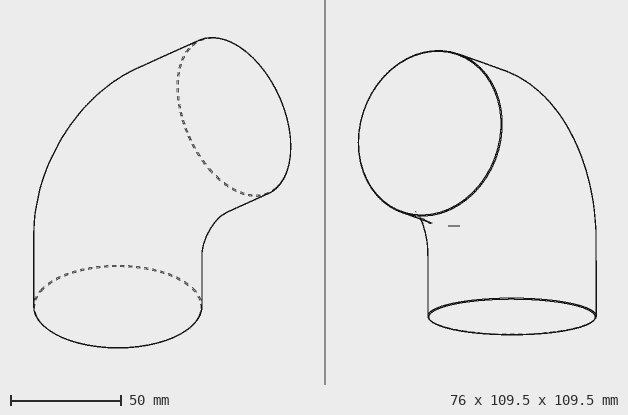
import math

import cadquery as cq

overall = 109.5
diameter = 76.0
collar_length = 25.2
end_chamfer = 0.4
heel_straight = 14.7
section_count = 19

radius = diameter / 2
bend_radius = overall - radius - collar_length
throat_radius = bend_radius - radius
outer_reach = bend_radius + radius
heel_radius = outer_reach - heel_straight


def heel_distance(angle):
    """Distance from the bend axis to the outer wall, made of line, heel arc and line."""
    angle_from_joint = min(angle, math.pi / 2 - angle)
    cosine = math.cos(angle_from_joint)
    sine = math.sin(angle_from_joint)
    if outer_reach * sine <= heel_straight * cosine:
        return outer_reach / cosine
    along = heel_straight * (cosine + sine)
    across = heel_straight * (cosine - sine)
    return along + math.sqrt(heel_radius**2 - across**2)


def bend_section(angle):
    """Elliptical cross-section, of constant width, spanning from throat to heel."""
    heel = heel_distance(angle)
    middle = (throat_radius + heel) / 2
    half_depth = (heel - throat_radius) / 2
    center = cq.Vector(
        0,
        bend_radius - middle * math.cos(angle),
        collar_length + middle * math.sin(angle),
    )
    normal = cq.Vector(0, math.sin(angle), math.cos(angle))
    inward = cq.Vector(0, math.cos(angle), -math.sin(angle))
    edge = cq.Edge.makeEllipse(half_depth, radius, center, normal, inward)
    return cq.Wire.assembleEdges([edge])


def bend():
    """Smooth bend through the sections, from +Z at the lower joint to +Y at the upper."""
    step = math.pi / 2 / (section_count - 1)
    sections = [bend_section(i * step) for i in range(section_count)]
    return cq.Workplane(cq.Solid.makeLoft(sections))


def collar():
    """Vertical cylinder standing on Z = 0, its open end lightly chamfered."""
    cylinder = cq.Workplane("XY").circle(radius).extrude(collar_length)
    return cylinder.faces("<Z").chamfer(end_chamfer)


lower_collar = collar()
upper_collar = (
    collar()
    .rotate((0, 0, 0), (1, 0, 0), 90)
    .translate((0, overall - radius, overall - radius))
)

result = lower_collar.union(bend()).union(upper_collar)